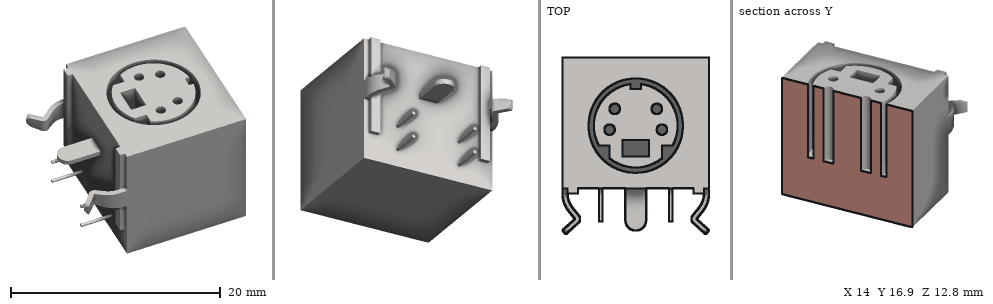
import cadquery as cq
import math

WIDTH = 14.0
DEPTH = 12.5
HEIGHT = 12.83
TOTAL_DEPTH = 16.86
HALF_WIDTH = WIDTH / 2

SHEET = 0.5
METAL_WIDTH = 2.0
METAL_TOP = 8.33

RAIL_WIDTH = 1.0
RAIL_DEPTH = 0.5
RAIL_BOTTOM = 2.8

PIN_DIAMETER = 0.34
PIN_LENGTH = 3.17
PIN_X = 3.34
PIN_HEIGHTS = (1.8, 4.3)

TAB_LENGTH = 4.03

SOCKET_Y = 5.99
SOCKET_DIAMETER = 9.0
SOCKET_DEPTH = 8.0
CORE_DIAMETER = 8.0
CONTACT_DIAMETER = 1.0
CONTACTS = ((2.0, 1.6), (2.5, -0.39))
KEY_WIDTH = 1.0
KEY_FLOOR_Y = 3.49
SHOULDER_X = 2.5
SHOULDER_Y = -1.89
SLOT_WIDTH = 2.56
SLOT_TOP_Y = -1.37
SLOT_BOTTOM_Y = -2.93

CLIP_REACH = TOTAL_DEPTH - DEPTH
CLIP_BEND_RADIUS = 2.63
CLIP_INWARD_ANGLE = math.radians(39)
CLIP_RETURN_ANGLE = math.radians(42)
CLIP_CORNER = 1.2
CLIP_TIP_HALF_WIDTH = 0.55
CLIP_Z = METAL_TOP - METAL_WIDTH / 2


def box(x_range, y_range, z_range):
    """Box spanning the given (low, high) range on each axis."""
    lows, highs = zip(x_range, y_range, z_range)
    size = [high - low for low, high in zip(lows, highs)]
    return cq.Workplane("XY").box(*size, centered=False).translate(lows)


def mirrored(shape):
    """The shape together with its mirror image across the YZ plane."""
    return shape.union(shape.mirror("YZ"))


def make_socket():
    """Annular well around a keyed core, plus the contact holes and the slot."""
    radius = SOCKET_DIAMETER / 2
    levels = (0, SOCKET_DEPTH)
    core = cq.Workplane("XY").circle(CORE_DIAMETER / 2).extrude(SOCKET_DEPTH)
    core = core.cut(box((-KEY_WIDTH / 2, KEY_WIDTH / 2), (KEY_FLOOR_Y, radius), levels))
    core = core.cut(mirrored(box((SHOULDER_X, radius), (-radius, SHOULDER_Y), levels)))

    contact_points = [(side * x, y) for x, y in CONTACTS for side in (-1, 1)]
    contacts = (
        cq.Workplane("XY")
        .pushPoints(contact_points)
        .circle(CONTACT_DIAMETER / 2)
        .extrude(SOCKET_DEPTH)
    )
    slot = box((-SLOT_WIDTH / 2, SLOT_WIDTH / 2), (SLOT_BOTTOM_Y, SLOT_TOP_Y), levels)
    well = cq.Workplane("XY").circle(radius).extrude(SOCKET_DEPTH)
    cavity = well.cut(core).union(contacts).union(slot)
    return cavity.translate((0, SOCKET_Y, HEIGHT - SOCKET_DEPTH))


def make_rails():
    inner_x = HALF_WIDTH - SHEET - RAIL_WIDTH
    return mirrored(box((inner_x, inner_x + RAIL_WIDTH), (-RAIL_DEPTH, 0), (RAIL_BOTTOM, HEIGHT)))


def make_pins():
    points = [(side * PIN_X, z) for side in (-1, 1) for z in PIN_HEIGHTS]
    return cq.Workplane("XZ").pushPoints(points).circle(PIN_DIAMETER / 2).extrude(PIN_LENGTH)


def make_tab():
    """Flat tongue with a fully rounded end."""
    radius = METAL_WIDTH / 2
    return (
        cq.Workplane("XY", origin=(0, 0, METAL_TOP - SHEET))
        .moveTo(-radius, 0)
        .lineTo(-radius, radius - TAB_LENGTH)
        .threePointArc((0, -TAB_LENGTH), (radius, radius - TAB_LENGTH))
        .lineTo(radius, 0)
        .close()
        .extrude(SHEET)
    )


def make_clips():
    """Bent strips that taper in height towards a rounded tip."""
    inward, back = CLIP_INWARD_ANGLE, CLIP_RETURN_ANGLE
    inner_radius = CLIP_BEND_RADIUS - SHEET

    end_y = -CLIP_REACH + SHEET * math.cos(back)
    corner_y = end_y + CLIP_CORNER * math.tan(back)
    bend_end_x = CLIP_BEND_RADIUS * (1 - math.cos(inward))
    bend_end_y = corner_y + (CLIP_CORNER - bend_end_x) / math.tan(inward)
    bend_start_y = bend_end_y + CLIP_BEND_RADIUS * math.sin(inward)

    def on_bend(radius, angle):
        return (CLIP_BEND_RADIUS - radius * math.cos(angle), bend_start_y - radius * math.sin(angle))

    def around_corner(angle):
        return (CLIP_CORNER + SHEET * math.cos(angle), corner_y + SHEET * math.sin(angle))

    corner_from = -(math.pi / 2 - back)
    corner_mid = (corner_from + inward) / 2
    profile = (
        cq.Workplane("XY")
        .moveTo(0, 0)
        .lineTo(0, bend_start_y)
        .threePointArc(on_bend(CLIP_BEND_RADIUS, inward / 2), on_bend(CLIP_BEND_RADIUS, inward))
        .lineTo(CLIP_CORNER, corner_y)
        .lineTo(0, end_y)
        .lineTo(SHEET * math.sin(back), -CLIP_REACH)
        .lineTo(*around_corner(corner_from))
        .threePointArc(around_corner(corner_mid), around_corner(inward))
        .lineTo(*on_bend(inner_radius, inward))
        .threePointArc(on_bend(inner_radius, inward / 2), (SHEET, bend_start_y))
        .lineTo(SHEET, 0)
        .close()
    )
    strip = profile.extrude(HEIGHT).translate((-HALF_WIDTH, 0, 0))

    half = METAL_WIDTH / 2
    tip = CLIP_TIP_HALF_WIDTH
    taper = (
        cq.Workplane("YZ", origin=(-HALF_WIDTH, 0, CLIP_Z))
        .moveTo(0, -half)
        .lineTo(-RAIL_DEPTH, -half)
        .lineTo(end_y, -tip)
        .threePointArc((-CLIP_REACH, 0), (end_y, tip))
        .lineTo(-RAIL_DEPTH, half)
        .lineTo(0, half)
        .close()
        .extrude(HALF_WIDTH)
    )
    return mirrored(strip.intersect(taper))


housing = box((-HALF_WIDTH, HALF_WIDTH), (0, DEPTH), (0, HEIGHT)).cut(make_socket())
result = housing.union(make_rails()).union(make_pins()).union(make_tab()).union(make_clips())